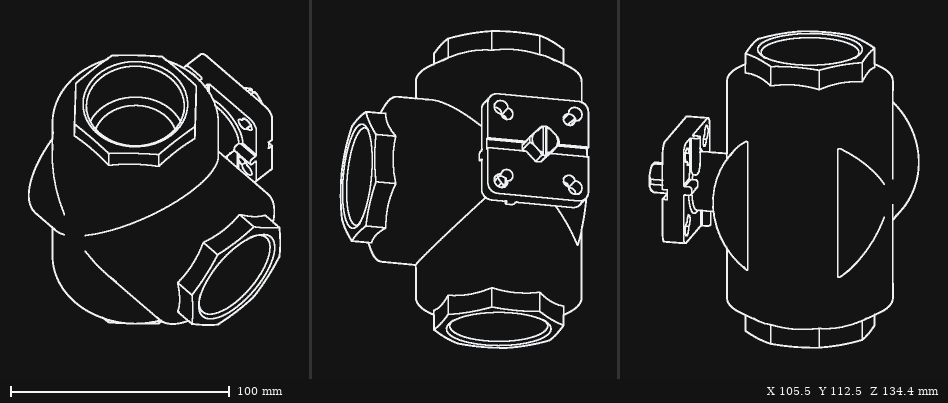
import cadquery as cq
import math

BARREL_DIAMETER = 76.0
BARREL_RADIUS = BARREL_DIAMETER / 2
PORT_REACH = 67.2
OVERALL_WIDTH = 105.5
SIDE_PORT_REACH = OVERALL_WIDTH - BARREL_RADIUS
OVERALL_DEPTH = 112.5
SHOULDER_REACH = 52.6
SHOULDER_ANGLE = 30.0
SIDE_BARREL_BACK = -31.5
EDGE_ROUND = 1.01

OCTAGON_FLATS = 55.1
OCTAGON_CORNERS = OCTAGON_FLATS / math.cos(math.pi / 8)
CORNER_CHAMFER_DIAMETER = 54.3
CORNER_CHAMFER_HEIGHT = 0.7

BORE_DIAMETER = 38.0
SOCKET_DIAMETER = 44.8
MOUTH_DIAMETER = 47.9
MOUTH_DEPTH = 1.5
SOCKET_DEPTH = 25.8
SOCKET_FLOOR_HEIGHT = 1.9

NECK_DIAMETER = 27.0
NECK_FLARE_DIAMETER = 30.0
NECK_FLARE_HEIGHT = 1.2
PLATE_FRONT = 53.5
PLATE_THICKNESS = 10.0
PLATE_BACK = PLATE_FRONT + PLATE_THICKNESS
PLATE_SIDE = 48.0
PLATE_CORNER_RADIUS = 4.7
GROOVE_WIDTH = 4.7
GROOVE_DEPTH = 2.2

OUTER_BOLT_CIRCLE = 50.0
OUTER_HOLE_DIAMETER = 6.5
INNER_BOLT_CIRCLE = 42.0
INNER_HOLE_DIAMETER = 5.5

RIB_WIDTH = 4.0
RIB_HEIGHT = 3.9
RIB_TIP_ROUND = 1.3
RIB_BASE_FLARE = 0.5
UPRIGHT_RIB_OFFSET = 9.8
LEVEL_RIB_OFFSET = 2.5

STEM_END = OVERALL_DEPTH - BARREL_RADIUS
STEM_FLATS = 11.4
STEM_ROUND_DIAMETER = 14.0
STEM_CHAMFER = 1.0
STEM_SLOT_WIDTH = 1.6
STEM_SLOT_DEPTH = 1.2


def y_plane(y):
    """Plane at height y along the neck axis; local axes are X and Z."""
    return cq.Workplane("XZ", origin=(0, y, 0))


def slab(profile, length):
    """Extrude a profile drawn on a y_plane towards +Y."""
    return profile.extrude(-length)


def tapered_barrel(back):
    """Barrel along +Z from `back` to its shoulder, ending in a cone."""
    taper_end_radius = BARREL_RADIUS / 2
    taper_height = (BARREL_RADIUS - taper_end_radius) * math.tan(math.radians(SHOULDER_ANGLE))
    return (
        cq.Workplane("XZ")
        .moveTo(0, back)
        .lineTo(BARREL_RADIUS, back)
        .lineTo(BARREL_RADIUS, SHOULDER_REACH)
        .lineTo(taper_end_radius, SHOULDER_REACH + taper_height)
        .lineTo(0, SHOULDER_REACH + taper_height)
        .close()
        .revolve(360, (0, 0, 0), (0, 1, 0))
        .edges(cq.selectors.RadiusNthSelector(-1))
        .edges(">Z")
        .fillet(EDGE_ROUND)
    )


def port_end(reach):
    """Octagonal end along +Z with its outer corners chamfered by a cone."""
    octagon = (
        cq.Workplane("XY")
        .polygon(8, OCTAGON_CORNERS)
        .extrude(reach)
        .rotate((0, 0, 0), (0, 0, 1), 180 / 8)
    )
    corner_radius = OCTAGON_CORNERS / 2
    turned_blank = (
        cq.Workplane("XZ")
        .lineTo(corner_radius, 0)
        .lineTo(corner_radius, reach - CORNER_CHAMFER_HEIGHT)
        .lineTo(CORNER_CHAMFER_DIAMETER / 2, reach)
        .lineTo(0, reach)
        .close()
        .revolve(360, (0, 0, 0), (0, 1, 0))
    )
    return octagon.intersect(turned_blank)


def port_bore(reach):
    """Stepped bore along +Z from the body centre out to the port face."""
    socket_floor = reach - SOCKET_DEPTH
    return (
        cq.Workplane("XZ")
        .lineTo(BORE_DIAMETER / 2, 0)
        .lineTo(BORE_DIAMETER / 2, socket_floor - SOCKET_FLOOR_HEIGHT)
        .lineTo(SOCKET_DIAMETER / 2, socket_floor)
        .lineTo(SOCKET_DIAMETER / 2, reach - MOUTH_DEPTH)
        .lineTo(MOUTH_DIAMETER / 2, reach)
        .lineTo(0, reach)
        .close()
        .revolve(360, (0, 0, 0), (0, 1, 0))
    )


def downward(shape):
    """Turn a +Z shape to face -Z."""
    return shape.rotate((0, 0, 0), (1, 0, 0), 180)


def sideways(shape):
    """Turn a +Z shape to face +X."""
    return shape.rotate((0, 0, 0), (0, 1, 0), 90)


def neck():
    """Round neck from the body centre, flaring where it meets the plate."""
    return (
        cq.Workplane("XY")
        .lineTo(NECK_DIAMETER / 2, 0)
        .lineTo(NECK_DIAMETER / 2, PLATE_FRONT - NECK_FLARE_HEIGHT)
        .lineTo(NECK_FLARE_DIAMETER / 2, PLATE_FRONT)
        .lineTo(0, PLATE_FRONT)
        .close()
        .revolve(360, (0, 0, 0), (0, 1, 0))
    )


def bolt_holes(circle_diameter, hole_diameter):
    """Four through holes on the plate diagonals."""
    spacing = circle_diameter / math.sqrt(2)
    profile = y_plane(PLATE_FRONT).rect(spacing, spacing, forConstruction=True).vertices()
    return slab(profile.circle(hole_diameter / 2), PLATE_THICKNESS)


def plate():
    """Square mounting plate with bolt holes and a groove across its back."""
    blank = slab(y_plane(PLATE_FRONT).rect(PLATE_SIDE, PLATE_SIDE), PLATE_THICKNESS)
    blank = blank.edges("|Y").fillet(PLATE_CORNER_RADIUS)
    groove = slab(y_plane(PLATE_BACK - GROOVE_DEPTH).rect(PLATE_SIDE, GROOVE_WIDTH), GROOVE_DEPTH)
    return (
        blank.cut(groove)
        .cut(bolt_holes(OUTER_BOLT_CIRCLE, OUTER_HOLE_DIAMETER))
        .cut(bolt_holes(INNER_BOLT_CIRCLE, INNER_HOLE_DIAMETER))
    )


def rib(offset):
    """Upright rib at X = -offset, from the neck to the top plate edge."""
    half_width = RIB_WIDTH / 2
    tip = PLATE_FRONT - RIB_HEIGHT
    return (
        cq.Workplane("XY")
        .center(-offset, 0)
        .moveTo(-half_width - RIB_BASE_FLARE, PLATE_FRONT)
        .lineTo(-half_width, PLATE_FRONT - RIB_BASE_FLARE)
        .lineTo(-half_width, tip + RIB_TIP_ROUND)
        .radiusArc((-half_width + RIB_TIP_ROUND, tip), -RIB_TIP_ROUND)
        .lineTo(half_width - RIB_TIP_ROUND, tip)
        .radiusArc((half_width, tip + RIB_TIP_ROUND), -RIB_TIP_ROUND)
        .lineTo(half_width, PLATE_FRONT - RIB_BASE_FLARE)
        .lineTo(half_width + RIB_BASE_FLARE, PLATE_FRONT)
        .close()
        .extrude(PLATE_SIDE / 2)
    )


def turned_about_neck(shape, angle):
    """Rotate a shape about the neck axis (Y)."""
    return shape.rotate((0, 0, 0), (0, 1, 0), angle)


def stem():
    """Square drive stem with rounded corners and a slot across its end."""
    length = STEM_END - PLATE_FRONT
    square = slab(y_plane(PLATE_FRONT).rect(STEM_FLATS, STEM_FLATS), length)
    square = turned_about_neck(square, 45)
    turned_blank = slab(y_plane(PLATE_FRONT).circle(STEM_ROUND_DIAMETER / 2), length)
    turned_blank = turned_blank.faces(">Y").chamfer(STEM_CHAMFER)
    slot_floor = STEM_END - STEM_SLOT_DEPTH
    slot = slab(y_plane(slot_floor).rect(STEM_SLOT_WIDTH, STEM_ROUND_DIAMETER), STEM_SLOT_DEPTH)
    return square.intersect(turned_blank).cut(slot)


run_half = tapered_barrel(0).union(port_end(PORT_REACH))
side_barrel = tapered_barrel(SIDE_BARREL_BACK).faces("<Z").edges().fillet(EDGE_ROUND)
side_branch = side_barrel.union(port_end(SIDE_PORT_REACH))
body = run_half.union(downward(run_half)).union(sideways(side_branch))

body = body.union(neck()).union(plate()).union(stem())
upright_rib = rib(UPRIGHT_RIB_OFFSET)
level_rib = turned_about_neck(rib(-LEVEL_RIB_OFFSET), -90)
for half_turn in (0, 180):
    body = body.union(turned_about_neck(upright_rib, half_turn))
    body = body.union(turned_about_neck(level_rib, half_turn))

run_bore = port_bore(PORT_REACH)
result = body.cut(run_bore).cut(downward(run_bore)).cut(sideways(port_bore(SIDE_PORT_REACH)))